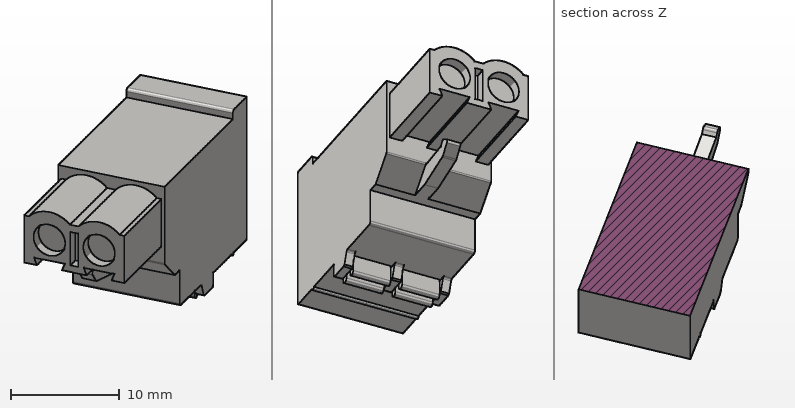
import cadquery as cq
import math

TOTAL_LENGTH = 26.6
BODY_WIDTH = 10.77
PITCH = 5.03
POLE_X = (-PITCH / 2, PITCH / 2)

BODY_FRONT_Y = 8.27
BODY_TOP_Z = 13.83
CAP_TOP_Z = 14.74
CAP_FRONT_Y = 23.5
CAP_EDGE_RADIUS = 0.27
FOOT_FRONT_Y = 11.6
STEP_Z = 3.7
SLOPE_START_Y = 10.53
SLOPE_TOP_Z = 5.85
SLOPE_EDGE_RADIUS = 0.2
FOOT_EDGE_RADIUS = 0.3
REAR_EDGE_RADIUS = 0.19

PLUG_WIDTH = 10.13
PLUG_BOTTOM_Z = 7.63
PLUG_SHOULDER_Z = 12.5
HOLE_Z = 10.48
HOLE_DIAMETER = 3.2
BARREL_RADIUS = 2.9
RECESS_DEPTH = 1.1
SLOT_WIDTH = 0.77
SLOT_BOTTOM_Z = 8.33
SLOT_TOP_Z = 11.75
NOTCH_DEPTH = 0.72
NOTCH_TOP_WIDTH = 3.09
NOTCH_MOUTH_WIDTH = 2.53

LATCH_WIDTH = 1.38
LATCH_CENTER_X = -0.65
LATCH_ROOT_Y = 7.93
LATCH_ROOT_Z = 5.77
HOOK_BASE_Y = 5.25
HOOK_BASE_Z = 5.93
HOOK_PEAK_Y = 4.81
HOOK_PEAK_Z = 6.46
LATCH_TIP_Y = 3.78
LATCH_TIP_Z = 5.85
LATCH_HEEL_Y = 4.81
LATCH_HEEL_Z = 4.58
LATCH_BEND_Y = 8.55
LATCH_EDGE_RADIUS = 0.27

LEG_HEIGHT = 1.44
LEG_REAR_Y = 19.15
LEG_FRONT_TOP_Y = 16.47
LEG_FRONT_BOTTOM_Y = 17.0
LEG_EDGE_CHAMFER = 0.13
LEG_ROOT_RADIUS = 0.25
OUTER_LEG_WIDTH = 0.85
MIDDLE_LEG_WIDTH = 0.9
PEG_WIDTH = 3.85
PEG_THICKNESS = 0.66
PEG_HEIGHT = 1.97
PEG_Y = (17.37, 18.75)
RIB_Y = 23.45
RIB_RADIUS = 0.2


def extrude_across(profile, width, center_x=0.0):
    """Extrude a YZ profile symmetrically about the plane X = center_x."""
    return profile.extrude(width / 2, both=True).translate((center_x, 0, 0))


def round_edge(solid, y, z, radius, x=0.0):
    """Fillet the edge that runs along X and has its middle nearest to (x, y, z)."""
    return solid.edges("|X").edges(cq.selectors.NearestToPointSelector((x, y, z))).fillet(radius)


def make_body():
    profile = cq.Workplane("YZ").polyline([
        (TOTAL_LENGTH, 0),
        (TOTAL_LENGTH, CAP_TOP_Z),
        (CAP_FRONT_Y, CAP_TOP_Z),
        (CAP_FRONT_Y, BODY_TOP_Z),
        (BODY_FRONT_Y, BODY_TOP_Z),
        (BODY_FRONT_Y, SLOPE_TOP_Z),
        (SLOPE_START_Y, STEP_Z),
        (FOOT_FRONT_Y, STEP_Z),
        (FOOT_FRONT_Y, 0),
    ]).close()
    body = extrude_across(profile, BODY_WIDTH)
    body = round_edge(body, CAP_FRONT_Y, CAP_TOP_Z, CAP_EDGE_RADIUS)
    body = round_edge(body, BODY_FRONT_Y, SLOPE_TOP_Z, SLOPE_EDGE_RADIUS)
    body = round_edge(body, FOOT_FRONT_Y, 0, FOOT_EDGE_RADIUS)
    return round_edge(body, TOTAL_LENGTH, 0, REAR_EDGE_RADIUS)


def make_plug():
    half_width = PLUG_WIDTH / 2
    half_chord = math.sqrt(BARREL_RADIUS**2 - (PLUG_SHOULDER_Z - HOLE_Z)**2)
    outline = cq.Workplane("XZ").moveTo(-half_width, PLUG_BOTTOM_Z)
    outline = outline.lineTo(-half_width, PLUG_SHOULDER_Z)
    for x in POLE_X:
        outline = outline.lineTo(x - half_chord, PLUG_SHOULDER_Z)
        outline = outline.threePointArc((x, HOLE_Z + BARREL_RADIUS), (x + half_chord, PLUG_SHOULDER_Z))
    outline = outline.lineTo(half_width, PLUG_SHOULDER_Z)
    outline = outline.lineTo(half_width, PLUG_BOTTOM_Z)
    for x in reversed(POLE_X):
        outline = outline.lineTo(x + NOTCH_MOUTH_WIDTH / 2, PLUG_BOTTOM_Z)
        outline = outline.lineTo(x + NOTCH_TOP_WIDTH / 2, PLUG_BOTTOM_Z + NOTCH_DEPTH)
        outline = outline.lineTo(x - NOTCH_TOP_WIDTH / 2, PLUG_BOTTOM_Z + NOTCH_DEPTH)
        outline = outline.lineTo(x - NOTCH_MOUTH_WIDTH / 2, PLUG_BOTTOM_Z)
    plug = outline.close().extrude(-BODY_FRONT_Y)

    holes = cq.Workplane("XZ").pushPoints([(x, HOLE_Z) for x in POLE_X]).circle(HOLE_DIAMETER / 2)
    slot_height = SLOT_TOP_Z - SLOT_BOTTOM_Z
    slot_center_z = SLOT_BOTTOM_Z + slot_height / 2
    slot = cq.Workplane("XZ").center(0, slot_center_z).rect(SLOT_WIDTH, slot_height)
    return plug.cut(holes.extrude(-RECESS_DEPTH)).cut(slot.extrude(-RECESS_DEPTH))


def make_latch():
    profile = cq.Workplane("YZ").polyline([
        (SLOPE_START_Y, STEP_Z),
        (BODY_FRONT_Y, SLOPE_TOP_Z),
        (LATCH_ROOT_Y, LATCH_ROOT_Z),
        (HOOK_BASE_Y, HOOK_BASE_Z),
        (HOOK_PEAK_Y, HOOK_PEAK_Z),
        (LATCH_TIP_Y, LATCH_TIP_Z),
        (LATCH_HEEL_Y, LATCH_HEEL_Z),
        (LATCH_BEND_Y, STEP_Z),
    ]).close()
    latch = extrude_across(profile, LATCH_WIDTH, LATCH_CENTER_X)
    latch = round_edge(latch, HOOK_PEAK_Y, HOOK_PEAK_Z, LATCH_EDGE_RADIUS)
    latch = round_edge(latch, LATCH_TIP_Y, LATCH_TIP_Z, LATCH_EDGE_RADIUS)
    return round_edge(latch, LATCH_HEEL_Y, LATCH_HEEL_Z, LATCH_EDGE_RADIUS)


def make_leg(center_x, width):
    profile = cq.Workplane("YZ").polyline([
        (LEG_REAR_Y, 0),
        (LEG_REAR_Y, -LEG_HEIGHT),
        (LEG_FRONT_BOTTOM_Y, -LEG_HEIGHT),
        (LEG_FRONT_TOP_Y, 0),
    ]).close()
    leg = extrude_across(profile, width, center_x)
    return leg.faces("<Z").edges("|X").chamfer(LEG_EDGE_CHAMFER)


def make_peg(center_x, center_y):
    """A flat tongue with a fully rounded lower end."""
    radius = PEG_THICKNESS / 2
    profile = (
        cq.Workplane("YZ")
        .moveTo(center_y - radius, 0)
        .lineTo(center_y - radius, radius - PEG_HEIGHT)
        .threePointArc((center_y, -PEG_HEIGHT), (center_y + radius, radius - PEG_HEIGHT))
        .lineTo(center_y + radius, 0)
        .close()
    )
    return extrude_across(profile, PEG_WIDTH, center_x)


def make_bottom_rib():
    profile = cq.Workplane("YZ").center(RIB_Y, 0).circle(RIB_RADIUS)
    return extrude_across(profile, BODY_WIDTH)


result = make_body().union(make_plug()).union(make_latch()).union(make_bottom_rib())

outer_leg_x = (BODY_WIDTH - OUTER_LEG_WIDTH) / 2
for leg_x, leg_width in (
    (-outer_leg_x, OUTER_LEG_WIDTH),
    (0, MIDDLE_LEG_WIDTH),
    (outer_leg_x, OUTER_LEG_WIDTH),
):
    result = result.union(make_leg(leg_x, leg_width))
    result = round_edge(result, LEG_FRONT_TOP_Y, 0, LEG_ROOT_RADIUS, leg_x)

for peg_x in POLE_X:
    for peg_y in PEG_Y:
        result = result.union(make_peg(peg_x, peg_y))
result = result.clean()